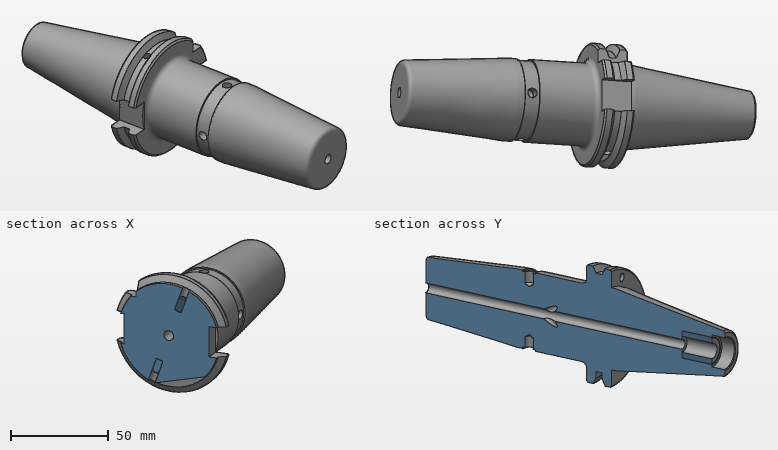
import cadquery as cq
import math

LENGTH = 188.4
GAUGE_X = 68.4
FLANGE_X = 71.5
FLANGE_WIDTH = 15.8
FLANGE_END_X = FLANGE_X + FLANGE_WIDTH

GAUGE_RADIUS = 22.2
TAPER_SLOPE = 7 / 24 / 2
SMALL_END_RADIUS = GAUGE_RADIUS - GAUGE_X * TAPER_SLOPE
SMALL_END_CHAMFER = 1.0

FLANGE_DIAMETER = 63.5
FLANGE_RADIUS = FLANGE_DIAMETER / 2
FLANGE_CHAMFER_FRONT = 0.8
FLANGE_CHAMFER_BACK = 1.0
GROOVE_FLOOR_X = 77.6
GROOVE_FLOOR_WIDTH = 3.5
GROOVE_CENTER_X = GROOVE_FLOOR_X + GROOVE_FLOOR_WIDTH / 2
GROOVE_FLOOR_RADIUS = 28.3
FLANK_ANGLE = 30.0
FLANK_RUN = (FLANGE_RADIUS - GROOVE_FLOOR_RADIUS) * math.tan(math.radians(FLANK_ANGLE))

DRIVE_SLOT_WIDTH = 16.2
DRIVE_FLOOR_FRONT = 22.8
DRIVE_FLOOR_BACK = 25.2
NOTCH_OFFSET = 18.5

FLAT_DISTANCE = 24.1
FLAT_WIDTH = 3.4
FLAT_ANGLE = -105.0

SHANK_RADIUS = 21.3
SHANK_FILLET = 2.8
NECK_START_X = 119.5
NECK_END_X = 127.4
NECK_RADIUS = 20.5
CONE_START_X = 131.3
CONE_ANGLE = 4.5
NOSE_FILLET = 2.3

BALANCE_RADIUS = 2.5
BALANCE_DEPTH = 6.0
BALANCE_COUNT = 4
DRILL_TIP_ANGLE = 59.0

COUNTERBORE_RADIUS = 8.5
COUNTERBORE_DEPTH = 8.3
COUNTERBORE_CHAMFER = 0.47
PASSAGE_DIAMETER = 5.0
PASSAGE_RADIUS = PASSAGE_DIAMETER / 2

SCREW_RADIUS = 7.2
SCREW_LENGTH = 18.8
SCREW_CHAMFER = 0.4
SCREW_HOLE_RADIUS = 4.1
SCREW_END_X = COUNTERBORE_DEPTH + SCREW_LENGTH

COOLANT_RADIUS = 1.9
COOLANT_CIRCLE_RADIUS = 27.0
COOLANT_ANGLES = (110.0, -70.0)
COOLANT_TILT = 32.0

PLUG_RADIUS = 1.79
PLUG_LENGTH = 7.5
PLUG_TOP_RADIUS = 22.6
PLUG_BOTTOM_RADIUS = PLUG_TOP_RADIUS - PLUG_LENGTH


def revolve_about_x(outline):
    return outline.close().revolve(360, (0, 0, 0), (1, 0, 0))


def make_blank():
    groove_end_x = GROOVE_FLOOR_X + GROOVE_FLOOR_WIDTH
    end_radius = SHANK_RADIUS - (LENGTH - CONE_START_X) * math.tan(math.radians(CONE_ANGLE))
    outline = (
        cq.Workplane("XY")
        .lineTo(0, SMALL_END_RADIUS - SMALL_END_CHAMFER)
        .lineTo(SMALL_END_CHAMFER, SMALL_END_RADIUS + SMALL_END_CHAMFER * TAPER_SLOPE)
        .lineTo(GAUGE_X, GAUGE_RADIUS)
        .lineTo(FLANGE_X, GAUGE_RADIUS)
        .lineTo(FLANGE_X, FLANGE_RADIUS - FLANGE_CHAMFER_FRONT)
        .lineTo(FLANGE_X + FLANGE_CHAMFER_FRONT, FLANGE_RADIUS)
        .lineTo(GROOVE_FLOOR_X - FLANK_RUN, FLANGE_RADIUS)
        .lineTo(GROOVE_FLOOR_X, GROOVE_FLOOR_RADIUS)
        .lineTo(groove_end_x, GROOVE_FLOOR_RADIUS)
        .lineTo(groove_end_x + FLANK_RUN, FLANGE_RADIUS)
        .lineTo(FLANGE_END_X - FLANGE_CHAMFER_BACK, FLANGE_RADIUS)
        .lineTo(FLANGE_END_X, FLANGE_RADIUS - FLANGE_CHAMFER_BACK)
        .lineTo(FLANGE_END_X, SHANK_RADIUS + SHANK_FILLET)
        .radiusArc((FLANGE_END_X + SHANK_FILLET, SHANK_RADIUS), -SHANK_FILLET)
        .lineTo(NECK_START_X, SHANK_RADIUS)
        .lineTo(NECK_START_X, NECK_RADIUS)
        .lineTo(NECK_END_X, NECK_RADIUS)
        .lineTo(NECK_END_X, SHANK_RADIUS)
        .lineTo(CONE_START_X, SHANK_RADIUS)
        .lineTo(LENGTH, end_radius)
        .lineTo(LENGTH, 0)
    )
    return revolve_about_x(outline).faces(">X").edges().fillet(NOSE_FILLET)


def make_bore():
    outline = (
        cq.Workplane("XY")
        .lineTo(0, COUNTERBORE_RADIUS + COUNTERBORE_CHAMFER)
        .lineTo(COUNTERBORE_CHAMFER, COUNTERBORE_RADIUS)
        .lineTo(COUNTERBORE_DEPTH, COUNTERBORE_RADIUS)
        .lineTo(COUNTERBORE_DEPTH, SCREW_RADIUS)
        .lineTo(SCREW_END_X, SCREW_RADIUS)
        .lineTo(SCREW_END_X, PASSAGE_RADIUS)
        .lineTo(LENGTH, PASSAGE_RADIUS)
        .lineTo(LENGTH, 0)
    )
    return revolve_about_x(outline)


def cut_drive_slots(body):
    for side, floor in ((-1, DRIVE_FLOOR_FRONT), (1, DRIVE_FLOOR_BACK)):
        depth = FLANGE_RADIUS - floor
        slot = cq.Workplane("XY").box(FLANGE_WIDTH, depth, DRIVE_SLOT_WIDTH, centered=(False, True, True))
        body = body.cut(slot.translate((FLANGE_X, side * (floor + depth / 2), 0)))
    return body


def cut_notch(body):
    notch = cq.Workplane("XY").box(FLANGE_WIDTH, FLANGE_RADIUS, FLANGE_RADIUS, centered=False)
    return body.cut(notch.translate((FLANGE_X, NOTCH_OFFSET, NOTCH_OFFSET)))


def cut_groove_flat(body):
    height = GROOVE_FLOOR_RADIUS - FLAT_DISTANCE
    flat = (
        cq.Workplane("XY")
        .box(FLAT_WIDTH, height, 2 * GROOVE_FLOOR_RADIUS, centered=(True, False, True))
        .translate((GROOVE_CENTER_X, FLAT_DISTANCE, 0))
        .rotate((0, 0, 0), (1, 0, 0), FLAT_ANGLE)
    )
    return body.cut(flat)


def cut_balance_holes(body):
    tip = BALANCE_RADIUS / math.tan(math.radians(DRILL_TIP_ANGLE))
    center_x = (NECK_START_X + NECK_END_X) / 2
    floor = NECK_RADIUS - BALANCE_DEPTH
    drill = (
        cq.Workplane("XZ")
        .moveTo(0, floor - tip)
        .lineTo(BALANCE_RADIUS, floor)
        .lineTo(BALANCE_RADIUS, SHANK_RADIUS)
        .lineTo(0, SHANK_RADIUS)
        .close()
        .revolve(360, (0, 0, 0), (0, 1, 0))
        .translate((center_x, 0, 0))
    )
    for index in range(BALANCE_COUNT):
        body = body.cut(drill.rotate((0, 0, 0), (1, 0, 0), index * 360 / BALANCE_COUNT))
    return body


def make_coolant_channel(angle):
    length = COOLANT_CIRCLE_RADIUS / math.sin(math.radians(COOLANT_TILT))
    return (
        cq.Workplane("YZ")
        .workplane(offset=-COOLANT_RADIUS)
        .circle(COOLANT_RADIUS)
        .extrude(length + COOLANT_RADIUS)
        .rotate((0, 0, 0), (0, 0, 1), -COOLANT_TILT)
        .translate((FLANGE_X, COOLANT_CIRCLE_RADIUS, 0))
        .rotate((0, 0, 0), (1, 0, 0), angle)
    )


def make_radial_rod(angle, inner_radius, outer_radius):
    return (
        cq.Workplane("XZ")
        .center(GROOVE_CENTER_X, 0)
        .circle(PLUG_RADIUS)
        .extrude(inner_radius - outer_radius)
        .translate((0, inner_radius, 0))
        .rotate((0, 0, 0), (1, 0, 0), angle)
    )


def make_holder():
    body = make_blank().cut(make_bore())
    body = cut_drive_slots(body)
    body = cut_notch(body)
    body = cut_groove_flat(body)
    body = cut_balance_holes(body)
    for angle in COOLANT_ANGLES:
        body = body.cut(make_coolant_channel(angle))
        body = body.cut(make_radial_rod(angle, PLUG_BOTTOM_RADIUS, FLANGE_RADIUS))
    return body


def make_screw():
    blank = cq.Workplane("YZ").circle(SCREW_RADIUS).extrude(SCREW_LENGTH).faces("<X").chamfer(SCREW_CHAMFER)
    hole = cq.Workplane("YZ").circle(SCREW_HOLE_RADIUS).extrude(SCREW_LENGTH)
    return blank.cut(hole).translate((COUNTERBORE_DEPTH, 0, 0))


def make_plug(angle):
    return make_radial_rod(angle, PLUG_BOTTOM_RADIUS, PLUG_TOP_RADIUS)


holder = make_holder()
screw = make_screw()
plugs = [make_plug(angle).val() for angle in COOLANT_ANGLES]

result = cq.Compound.makeCompound([holder.val(), screw.val(), *plugs])